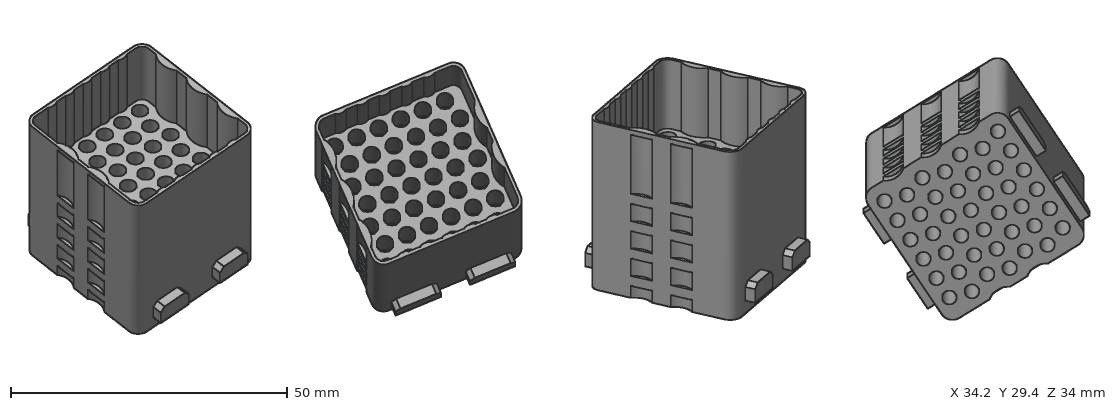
import cadquery as cq

OVERALL_X = 34.2
BODY_X = 30.2
TAB_LENGTH = (OVERALL_X - BODY_X) / 2
BODY_Y = 29.35
BODY_Z = 34.0
CORNER_RADIUS = 2.33

WALL = 0.65
CAVITY_DEPTH = 14.0
CAVITY_X = BODY_X - 2 * WALL
CAVITY_Y = BODY_Y - 2 * WALL
FLOOR_Z = BODY_Z - CAVITY_DEPTH

COLUMNS = 7
ROWS = 6
COLUMN_PITCH = 4.07
ROW_PITCH = 4.35
EVEN_COLUMN_Y = 0.45
ODD_COLUMN_Y = -0.8
HOLE_DIAMETER = 2.65
HOLE_ENTRY_DIAMETER = 3.05
HOLE_ENTRY_DEPTH = FLOOR_Z / 2

BULGE_CHORD = 5.5
BULGE_RISE = 0.92
FRONT_BULGE_COLUMNS = (2, 4)
BACK_BULGE_COLUMNS = (1, 3, 5)

SIDE_BULGE_CHORD = 2.15
SIDE_BULGE_RISE = 0.3

RECESS_CHORD = 4.35
RECESS_DEPTH = 0.75
RECESS_PITCH = 5.55
RECESS_HEIGHT = 3.52
SHORT_RECESSES = 4
LOWEST_RECESS_TOP = 2.43
TALL_RECESS_TOP = 33.0

TAB_BOTTOM_Z = 2.65
TAB_HEIGHT = 3.7
TAB_CHAMFER = 0.95
TAB_CENTRE_Y = 7.32
LEFT_TAB_WIDTH = 8.95
RIGHT_TAB_WIDTH = 6.9


def rounded_block(size_x, size_y, height, radius, bottom_z):
    block = cq.Workplane("XY", origin=(0, 0, bottom_z)).rect(size_x, size_y).extrude(height)
    return block.edges("|Z").fillet(radius)


def arc_segment(chord, rise, bottom_z, top_z):
    """Upright prism: chord along X through the origin, arc bowing towards +Y."""
    profile = cq.Workplane("XY", origin=(0, 0, bottom_z)).moveTo(-chord / 2, 0)
    profile = profile.threePointArc((0, rise), (chord / 2, 0)).close()
    return profile.extrude(top_z - bottom_z)


def column_x(column):
    return (column - (COLUMNS - 1) / 2) * COLUMN_PITCH


def row_y(column, row):
    column_centre_y = EVEN_COLUMN_Y if column % 2 == 0 else ODD_COLUMN_Y
    return column_centre_y + (row - (ROWS - 1) / 2) * ROW_PITCH


def on_bulge_walls(segment, half_depth):
    """Copies of a segment at every front and back bulge, bowing into the housing."""
    front = [segment.translate((column_x(column), -half_depth, 0)) for column in FRONT_BULGE_COLUMNS]
    turned = segment.rotate((0, 0, 0), (0, 0, 1), 180)
    back = [turned.translate((column_x(column), half_depth, 0)) for column in BACK_BULGE_COLUMNS]
    return front + back


def make_cavity():
    cavity = rounded_block(CAVITY_X, CAVITY_Y, CAVITY_DEPTH, CORNER_RADIUS - WALL, FLOOR_Z)
    bulge = arc_segment(BULGE_CHORD, BULGE_RISE, FLOOR_Z, BODY_Z)
    for placed_bulge in on_bulge_walls(bulge, CAVITY_Y / 2):
        cavity = cavity.cut(placed_bulge)

    side_bulge = arc_segment(SIDE_BULGE_CHORD, SIDE_BULGE_RISE, FLOOR_Z, BODY_Z)
    for side, turn in ((-1, -90), (1, 90)):
        turned = side_bulge.rotate((0, 0, 0), (0, 0, 1), turn)
        for row in range(ROWS - 1):
            y = row_y(0, row) + ROW_PITCH / 2
            cavity = cavity.cut(turned.translate((side * CAVITY_X / 2, y, 0)))
    return cavity


def cut_recesses(body):
    levels = []
    for level in range(SHORT_RECESSES):
        top = LOWEST_RECESS_TOP + level * RECESS_PITCH
        levels.append((max(top - RECESS_HEIGHT, 0), top))
    tall_bottom = LOWEST_RECESS_TOP + SHORT_RECESSES * RECESS_PITCH - RECESS_HEIGHT
    levels.append((tall_bottom, TALL_RECESS_TOP))

    for bottom, top in levels:
        recess = arc_segment(RECESS_CHORD, RECESS_DEPTH, bottom, top)
        for placed_recess in on_bulge_walls(recess, BODY_Y / 2):
            body = body.cut(placed_recess)
    return body


def cut_holes(body):
    points = [
        (column_x(column), row_y(column, row))
        for column in range(COLUMNS)
        for row in range(ROWS)
    ]
    floor = cq.Workplane("XY", origin=(0, 0, FLOOR_Z)).pushPoints(points)
    entries = floor.circle(HOLE_ENTRY_DIAMETER / 2).extrude(-HOLE_ENTRY_DEPTH)
    bores = floor.circle(HOLE_DIAMETER / 2).extrude(-FLOOR_Z)
    return body.cut(entries).cut(bores)


def make_tab(side, width, centre_y):
    """Tab rooted in the wall, with chamfered upper corners; side is -1 for -X and +1 for +X."""
    root_depth = WALL / 2
    reach = TAB_LENGTH + root_depth
    centre_x = side * (OVERALL_X - reach) / 2
    tab = cq.Workplane("XY").box(reach, width, TAB_HEIGHT, centered=(True, True, False))
    tab = tab.edges("|X and >Z").chamfer(TAB_CHAMFER)
    return tab.translate((centre_x, centre_y, TAB_BOTTOM_Z))


body = rounded_block(BODY_X, BODY_Y, BODY_Z, CORNER_RADIUS, 0)
body = body.cut(make_cavity())
body = cut_recesses(body)
body = cut_holes(body)

for side, width in ((-1, LEFT_TAB_WIDTH), (1, RIGHT_TAB_WIDTH)):
    for centre_y in (-TAB_CENTRE_Y, TAB_CENTRE_Y):
        body = body.union(make_tab(side, width, centre_y))

result = body